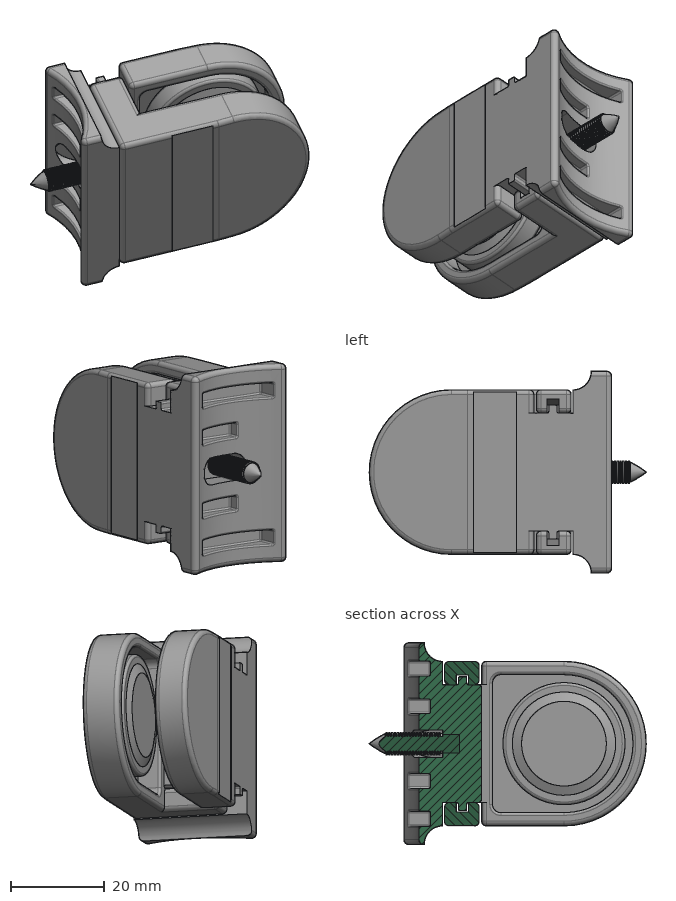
import cadquery as cq
import math


WIDTH = 25.0
HALF_WIDTH = WIDTH / 2
EDGE_RADIUS = 1.0

JAW_RADIUS = 17.5
JAW_END_Y = 51.6
JAW_CENTRE_Y = JAW_END_Y - JAW_RADIUS
FIXED_FACE_X = -4.5
SLIDING_FACE_X = 3.5
TAPER_START_Y = 30.7
TAPER_INSET = 1.0
BAND_START_Y = 20.25
BAND_END_Y = 29.4
BAND_DEPTH = 0.2

POCKET_MARGIN = 2.85
POCKET_RADIUS = JAW_RADIUS - POCKET_MARGIN
POCKET_START_Y = 18.9
POCKET_CORNER = 1.75
POCKET_DEPTH = 5.1
POCKET_ROUNDING = 0.6
PAD_RADIUS = 26.0 / 2
PAD_BOSS_RADIUS = 22.0 / 2
PAD_TIP_RADIUS = 9.0
PAD_RECESS = 0.2
PAD_PROUD = 0.6
PAD_ROUNDING = 0.6

FLANGE_HALF_HEIGHT = 43.0 / 2
FLANGE_EDGE_Y = 4.35
FLANGE_TOP_Y = 8.25
FLANGE_ROUNDING = 1.05
COVE_RADIUS = FLANGE_TOP_Y - FLANGE_EDGE_Y
WALL_RADIUS = 20.75
WALL_APEX_Y = 3.25
BLOCK_TOP_Y = 16.6
BLOCK_HALF_HEIGHT = 12.55

RAIL_START_Y = 11.6
RAIL_END_Y = 13.4
RAIL_TOP_Z = 14.3
RAIL_ROUNDING = 0.35
GROOVE_START_Y = 11.2
GROOVE_END_Y = 13.75
GROOVE_TOP_Z = 15.6

FOOT_END_X = -8.45
FOOT_START_Y = 8.6
FOOT_TOP_Y = 16.05

RECESS_FLOOR_Y = 5.65
RECESS_START_X = -9.55
RECESS_HEIGHT = 3.1
LONG_RECESS_END_X = 9.55
LONG_RECESS_Z = 16.0
SHORT_RECESS_END_X = 1.4
SHORT_RECESS_Z = 7.95
RECESS_ROUNDING = 0.35

SLOT_START_X = -8.85
SLOT_END_X = 3.55
SLOT_RADIUS = 2.95
SLOT_FLOOR_Y = 8.25
SLOT_RAMP_START_Y = 1.2
SLOT_RAMP_END_X = -5.1

SCREW_X = -0.2
SCREW_RADIUS = 4.8 / 2
SCREW_ROOT_RADIUS = 2.1
SCREW_TIP_RADIUS = 0.01 / 2
SCREW_TIP_Y = -7.4
SCREW_END_Y = 11.8
POINT_START_Y = -4.0
POINT_BULGE = 0.15
THREAD_PITCH = 0.6
THREAD_CREST = 0.25


class SharpEdges(cq.Selector):
    """Outer edges of a jaw to round: not the taper crease, the tangent seams or the foot joint."""

    def filter(self, edges):
        return [edge for edge in edges if not self.stays(edge)]

    @staticmethod
    def stays(edge):
        box = edge.BoundingBox()
        near = 0.005
        crease = max(abs(box.ymin - TAPER_START_Y), abs(box.ymax - TAPER_START_Y)) < near
        seam = max(abs(box.ymin - JAW_CENTRE_Y), abs(box.ymax - JAW_CENTRE_Y)) < near
        in_face = max(abs(box.xmin - SLIDING_FACE_X), abs(box.xmax - SLIDING_FACE_X)) < near
        joint = in_face and box.ymax < FOOT_TOP_Y + near
        return crease or seam or joint


def both_ends(shape):
    """The shape together with its mirror image below Z = 0."""
    return shape.union(shape.mirror("XY"))


def box(x0, x1, y0, y1, z0, z1):
    return cq.Workplane("XY").box(x1 - x0, y1 - y0, z1 - z0, centered=False).translate((x0, y0, z0))


def rounded_plate(x0, x1, y0, radius):
    """Plate from x0 to x1, straight from y0 to the jaw centre and round beyond it."""
    return (
        cq.Workplane("YZ", origin=(x0, 0, 0))
        .moveTo(y0, -radius)
        .lineTo(JAW_CENTRE_Y, -radius)
        .threePointArc((JAW_CENTRE_Y + radius, 0), (JAW_CENTRE_Y, radius))
        .lineTo(y0, radius)
        .close()
        .extrude(x1 - x0)
    )


def taper_cutter(side):
    """Wedge that makes the outer face on the given X side lean inwards."""
    return (
        cq.Workplane("XY", origin=(0, 0, -JAW_RADIUS))
        .moveTo(side * HALF_WIDTH, TAPER_START_Y)
        .lineTo(side * (HALF_WIDTH - TAPER_INSET), JAW_END_Y)
        .lineTo(side * HALF_WIDTH, JAW_END_Y)
        .close()
        .extrude(2 * JAW_RADIUS)
    )


def jaw_plate(side, face_x, y0):
    """Tapered jaw from its face to the outer side, with sharp edges."""
    outer_x = side * HALF_WIDTH
    plate = rounded_plate(min(face_x, outer_x), max(face_x, outer_x), y0, JAW_RADIUS)
    return plate.cut(taper_cutter(side))


def cut_pad_pocket(jaw, face_x, direction):
    """Cuts the pad pocket into a jaw and rounds its mouth; direction leads into the jaw."""
    x_end = face_x + direction * POCKET_DEPTH
    pocket = rounded_plate(min(face_x, x_end), max(face_x, x_end), POCKET_START_Y, POCKET_RADIUS)
    pocket = pocket.edges("|X and <Y").fillet(POCKET_CORNER)
    near = 0.05
    reach = POCKET_RADIUS + near
    mouth = cq.selectors.BoxSelector(
        (face_x - near, POCKET_START_Y - near, -reach),
        (face_x + near, JAW_CENTRE_Y + reach, reach),
        boundingbox=True)
    return jaw.cut(pocket).edges(mouth).fillet(POCKET_ROUNDING)


def outer_band(side):
    inner_x = side * (HALF_WIDTH - BAND_DEPTH)
    outer_x = side * HALF_WIDTH
    return box(min(inner_x, outer_x), max(inner_x, outer_x),
               BAND_START_Y, BAND_END_Y, -JAW_RADIUS, JAW_RADIUS)


def flange():
    """Flange with coved ends, hollowed and rounded on its wall side."""
    cove_centre_z = JAW_RADIUS + COVE_RADIUS
    cove_mid_y = FLANGE_TOP_Y - COVE_RADIUS * math.sqrt(0.5)
    cove_mid_z = cove_centre_z - COVE_RADIUS * math.sqrt(0.5)
    body = (
        cq.Workplane("YZ", origin=(-HALF_WIDTH, 0, 0))
        .moveTo(-WALL_APEX_Y, -FLANGE_HALF_HEIGHT)
        .lineTo(-WALL_APEX_Y, FLANGE_HALF_HEIGHT)
        .lineTo(FLANGE_EDGE_Y, FLANGE_HALF_HEIGHT)
        .lineTo(FLANGE_EDGE_Y, cove_centre_z)
        .threePointArc((cove_mid_y, cove_mid_z), (FLANGE_TOP_Y, JAW_RADIUS))
        .lineTo(FLANGE_TOP_Y, -JAW_RADIUS)
        .threePointArc((cove_mid_y, -cove_mid_z), (FLANGE_EDGE_Y, -cove_centre_z))
        .lineTo(FLANGE_EDGE_Y, -FLANGE_HALF_HEIGHT)
        .close()
        .extrude(WIDTH)
    )
    post = (
        cq.Workplane("XY", origin=(0, WALL_APEX_Y - WALL_RADIUS, -FLANGE_HALF_HEIGHT))
        .circle(WALL_RADIUS)
        .extrude(2 * FLANGE_HALF_HEIGHT)
    )
    body = body.cut(post)
    wall_side = cq.selectors.BoxSelector((-WIDTH, -WIDTH, -WIDTH), (WIDTH, FLANGE_EDGE_Y - 0.05, WIDTH))
    return body.edges(wall_side).fillet(FLANGE_ROUNDING)


def fixed_jaw():
    """Fixed jaw and the block under the gap, with the open corners that clear the foot."""
    jaw = jaw_plate(-1, FIXED_FACE_X, BLOCK_TOP_Y)
    jaw = jaw.edges(SharpEdges()).fillet(EDGE_RADIUS)
    root = box(-HALF_WIDTH, FIXED_FACE_X, FLANGE_TOP_Y, BAND_START_Y,
               -BLOCK_HALF_HEIGHT, BLOCK_HALF_HEIGHT)
    block = box(FIXED_FACE_X, SLIDING_FACE_X, FLANGE_TOP_Y, BLOCK_TOP_Y, -BLOCK_HALF_HEIGHT, BLOCK_HALF_HEIGHT)
    block = block.edges("|X and >Y").chamfer(BLOCK_TOP_Y - FOOT_TOP_Y)
    body = jaw.union(root).union(block)
    return cut_pad_pocket(body, FIXED_FACE_X, -1).cut(outer_band(-1))


def rail():
    """Rail along X with a rounded front edge and concave roundings at its foot."""
    r = RAIL_ROUNDING
    return (
        cq.Workplane("YZ", origin=(-HALF_WIDTH, 0, 0))
        .moveTo(RAIL_START_Y - r, BLOCK_HALF_HEIGHT)
        .radiusArc((RAIL_START_Y, BLOCK_HALF_HEIGHT + r), -r)
        .lineTo(RAIL_START_Y, RAIL_TOP_Z - r)
        .radiusArc((RAIL_START_Y + r, RAIL_TOP_Z), r)
        .lineTo(RAIL_END_Y, RAIL_TOP_Z)
        .lineTo(RAIL_END_Y, BLOCK_HALF_HEIGHT + r)
        .radiusArc((RAIL_END_Y + r, BLOCK_HALF_HEIGHT), -r)
        .close()
        .extrude(SLIDING_FACE_X + HALF_WIDTH)
    )


def wall_recess(x_end, z_centre):
    """Pocket in the wall face with a flat floor and rounded corners."""
    pocket = box(RECESS_START_X, x_end, -WALL_APEX_Y, RECESS_FLOOR_Y,
                 z_centre - RECESS_HEIGHT / 2, z_centre + RECESS_HEIGHT / 2)
    return pocket.edges("|Y or >Y").fillet(RECESS_ROUNDING)


class RecessMouths(cq.Selector):
    """Edges where the recesses meet the round wall face."""

    def filter(self, edges):
        return [edge for edge in edges if self.is_mouth(edge)]

    @staticmethod
    def is_mouth(edge):
        points = [edge.positionAt(t) for t in (0, 0.5, 1)]
        near = 0.005
        on_wall = all(
            abs(math.hypot(p.x, p.y - WALL_APEX_Y + WALL_RADIUS) - WALL_RADIUS) < near for p in points)
        inside = all(
            abs(p.x) < LONG_RECESS_END_X + near and abs(p.z) < LONG_RECESS_Z + RECESS_HEIGHT for p in points)
        return on_wall and inside


def cut_wall_recesses(body):
    for end in (-1, 1):
        body = body.cut(wall_recess(LONG_RECESS_END_X, end * LONG_RECESS_Z))
        body = body.cut(wall_recess(SHORT_RECESS_END_X, end * SHORT_RECESS_Z))
    return body.edges(RecessMouths()).fillet(RECESS_ROUNDING)


def screw_slot():
    """Oblong slot in the wall face; its left part is cut away by a ramp that rises to the face."""
    slot = (
        cq.Workplane("XZ", origin=((SLOT_START_X + SLOT_END_X) / 2, SLOT_FLOOR_Y, 0))
        .slot2D(SLOT_END_X - SLOT_START_X, 2 * SLOT_RADIUS)
        .extrude(SLOT_FLOOR_Y + WALL_APEX_Y)
    )
    ramp = (
        cq.Workplane("XY", origin=(0, 0, -SLOT_RADIUS))
        .moveTo(SLOT_START_X, SLOT_RAMP_START_Y)
        .lineTo(SLOT_RAMP_END_X, SLOT_FLOOR_Y)
        .lineTo(SLOT_START_X, SLOT_FLOOR_Y)
        .close()
        .extrude(2 * SLOT_RADIUS)
    )
    return slot.cut(ramp)


def screw_hole():
    return cq.Workplane("XZ", origin=(SCREW_X, SCREW_END_Y, 0)).circle(SCREW_RADIUS).extrude(SCREW_END_Y)


def make_base():
    base = cut_wall_recesses(flange()).union(fixed_jaw()).union(both_ends(rail()))
    base = base.cut(screw_slot()).cut(screw_hole())
    return base.solids().val()


def foot_groove():
    """Groove for a rail; its roof slopes down until it meets the rail at the jaw."""
    return (
        cq.Workplane("XZ", origin=(0, GROOVE_END_Y, 0))
        .moveTo(FOOT_END_X, BLOCK_HALF_HEIGHT)
        .lineTo(FOOT_END_X, GROOVE_TOP_Z)
        .lineTo(SLIDING_FACE_X, RAIL_TOP_Z)
        .lineTo(SLIDING_FACE_X, BLOCK_HALF_HEIGHT)
        .close()
        .extrude(GROOVE_END_Y - GROOVE_START_Y)
    )


def make_sliding_jaw():
    """Jaw with a two-pronged foot that straddles the block of the base."""
    jaw = jaw_plate(1, SLIDING_FACE_X, FOOT_START_Y)
    prong = box(FOOT_END_X, SLIDING_FACE_X, FOOT_START_Y, FOOT_TOP_Y, BLOCK_HALF_HEIGHT, JAW_RADIUS)
    body = jaw.union(both_ends(prong))
    body = body.edges(SharpEdges()).fillet(EDGE_RADIUS)

    body = cut_pad_pocket(body.cut(both_ends(foot_groove())), SLIDING_FACE_X, 1)
    return body.cut(outer_band(1)).solids().val()


def make_pad(face_x, direction):
    """Round pad standing in the pocket of a jaw; direction leads into the jaw."""
    rim_x = face_x + direction * PAD_RECESS
    floor_x = face_x + direction * POCKET_DEPTH
    tip_x = face_x - direction * PAD_PROUD
    return (
        cq.Workplane("XY", origin=(0, JAW_CENTRE_Y, 0))
        .moveTo(tip_x, 0)
        .lineTo(tip_x, PAD_TIP_RADIUS)
        .lineTo(rim_x, PAD_BOSS_RADIUS)
        .lineTo(rim_x, PAD_RADIUS - PAD_ROUNDING)
        .radiusArc((rim_x + direction * PAD_ROUNDING, PAD_RADIUS), direction * PAD_ROUNDING)
        .lineTo(floor_x - direction * PAD_ROUNDING, PAD_RADIUS)
        .radiusArc((floor_x, PAD_RADIUS - PAD_ROUNDING), direction * PAD_ROUNDING)
        .lineTo(floor_x, 0)
        .close()
        .revolve(360, (0, 0, 0), (1, 0, 0))
    )


def make_screw():
    """Pointed screw whose thread is a stack of ring grooves."""
    point_mid_radius = (SCREW_ROOT_RADIUS + SCREW_TIP_RADIUS) / 2 + POINT_BULGE
    profile = (
        cq.Workplane("XY", origin=(SCREW_X, 0, 0))
        .moveTo(0, SCREW_TIP_Y)
        .lineTo(SCREW_TIP_RADIUS, SCREW_TIP_Y)
        .threePointArc((point_mid_radius, (SCREW_TIP_Y + POINT_START_Y) / 2), (SCREW_ROOT_RADIUS, POINT_START_Y))
    )
    ring_count = int((SLOT_FLOOR_Y - POINT_START_Y) / THREAD_PITCH)
    flank = (THREAD_PITCH - THREAD_CREST) / 3
    for ring in range(ring_count):
        y = POINT_START_Y + ring * THREAD_PITCH
        profile = (
            profile.lineTo(SCREW_ROOT_RADIUS, y + flank)
            .lineTo(SCREW_RADIUS, y + 2 * flank)
            .lineTo(SCREW_RADIUS, y + 2 * flank + THREAD_CREST)
            .lineTo(SCREW_ROOT_RADIUS, y + THREAD_PITCH)
        )
    return (
        profile.lineTo(SCREW_ROOT_RADIUS, SLOT_FLOOR_Y)
        .lineTo(SCREW_RADIUS, SLOT_FLOOR_Y)
        .lineTo(SCREW_RADIUS, SCREW_END_Y)
        .lineTo(0, SCREW_END_Y)
        .close()
        .revolve(360, (0, 0, 0), (0, 1, 0))
    )


base = make_base()
sliding_jaw = make_sliding_jaw()
pads = [make_pad(FIXED_FACE_X, -1), make_pad(SLIDING_FACE_X, 1)]
screw = make_screw()

result = cq.Compound.makeCompound([base, sliding_jaw, *[pad.val() for pad in pads], screw.val()])